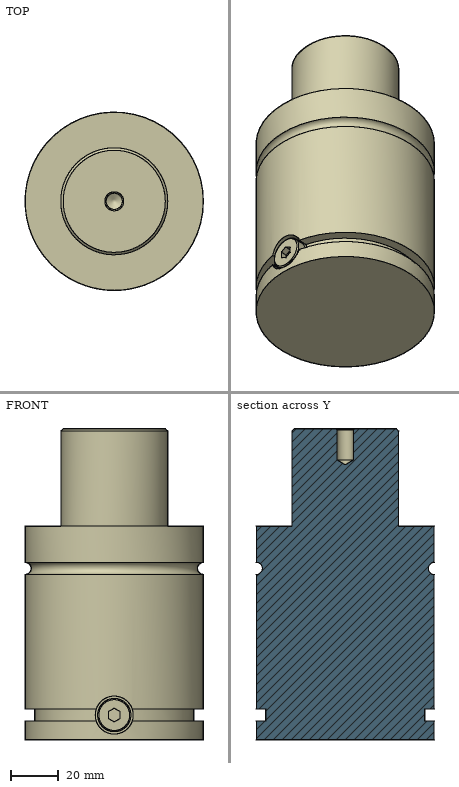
import cadquery as cq
import math

total_height = 131.0
body_diameter = 75.0
body_height = 90.0
body_radius = body_diameter / 2

rod_diameter = 45.0
rod_chamfer = 1.0
rod_hole_diameter = 6.8
rod_hole_mouth_diameter = 8.0
rod_hole_depth = 13.1
drill_point_angle = 118.0

round_groove_radius = 2.5
round_groove_height = 72.2

square_groove_bottom = 8.0
square_groove_top = 13.0
square_groove_depth = 4.0

plug_height = 10.5
pocket_diameter = 16.0
pocket_floor_distance = 32.4
plug_diameter = 14.0
plug_rim_chamfer = 0.5
plug_face_distance = 37.0
hex_across_flats = 5.0
hex_depth = 3.0


def make_body():
    """Body with the piston rod, turned about Z."""
    body = cq.Workplane("XY").circle(body_radius).extrude(body_height)
    rod = (
        cq.Workplane("XY")
        .circle(rod_diameter / 2)
        .extrude(total_height)
        .faces(">Z")
        .chamfer(rod_chamfer)
    )
    return body.union(rod)


def make_round_groove():
    """Ring of circular section centred on the body surface."""
    return (
        cq.Workplane("XZ")
        .center(body_radius, round_groove_height)
        .circle(round_groove_radius)
        .revolve(360, (-body_radius, 0), (-body_radius, 1))
    )


def make_square_groove():
    """Ring of rectangular section reaching in from the body surface."""
    return (
        cq.Workplane("XY", origin=(0, 0, square_groove_bottom))
        .circle(body_radius)
        .circle(body_radius - square_groove_depth)
        .extrude(square_groove_top - square_groove_bottom)
    )


def make_rod_hole():
    """Blind hole with a countersunk mouth and a drill point."""
    hole_radius = rod_hole_diameter / 2
    mouth_radius = rod_hole_mouth_diameter / 2
    mouth_depth = mouth_radius - hole_radius
    point_depth = hole_radius / math.tan(math.radians(drill_point_angle / 2))
    floor = total_height - rod_hole_depth
    return (
        cq.Workplane("XZ")
        .moveTo(0, total_height)
        .lineTo(mouth_radius, total_height)
        .lineTo(hole_radius, total_height - mouth_depth)
        .lineTo(hole_radius, floor)
        .lineTo(0, floor - point_depth)
        .close()
        .revolve(360, (0, 0), (0, 1))
    )


def side_plane(distance):
    """Plane facing -Y, centred on the plug axis at a distance from the body axis."""
    return cq.Workplane("XZ", origin=(0, -distance, plug_height))


def make_plug_pocket():
    """Round pocket open through the body surface."""
    return (
        side_plane(pocket_floor_distance)
        .circle(pocket_diameter / 2)
        .extrude(body_radius - pocket_floor_distance)
    )


def make_plug():
    """Plug with a chamfered rim and a hexagon socket."""
    plug = (
        side_plane(pocket_floor_distance)
        .circle(plug_diameter / 2)
        .extrude(plug_face_distance - pocket_floor_distance)
        .faces("<Y")
        .chamfer(plug_rim_chamfer)
    )
    hex_across_corners = hex_across_flats / math.cos(math.pi / 6)
    socket = (
        side_plane(plug_face_distance - hex_depth)
        .transformed(rotate=(0, 0, 90))
        .polygon(6, hex_across_corners)
        .extrude(hex_depth)
    )
    return plug.cut(socket)


result = (
    make_body()
    .cut(make_rod_hole())
    .cut(make_round_groove())
    .cut(make_square_groove())
    .cut(make_plug_pocket())
    .union(make_plug())
)